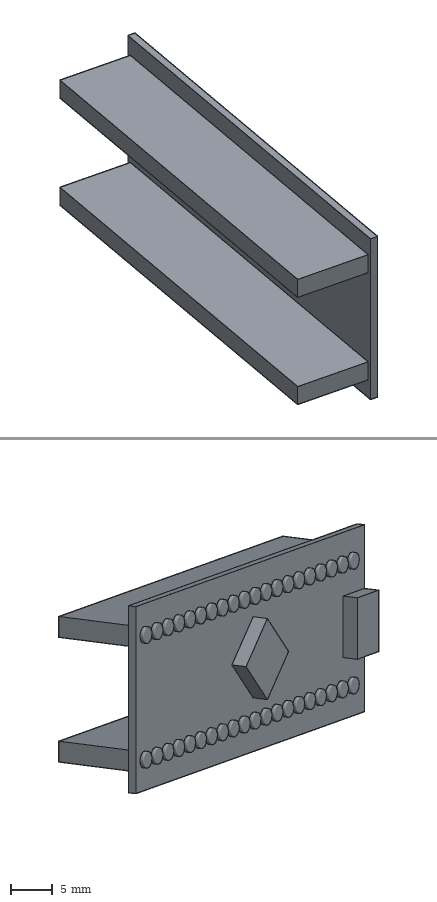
import cadquery as cq
import math

board_length = 53.25
board_height = 22.85
board_thickness = 1.0

header_length = 52.2
header_depth = 10.0
header_width = 2.55
row_spacing = 15.25
row_heights = [-row_spacing / 2, row_spacing / 2]

pad_count = 20
pitches_between_rows = 6
pad_pitch = row_spacing / pitches_between_rows
pad_diameter = 2.0
pad_height = 0.5
pad_row_center_x = 0.5
pad_fillet = 0.1

component_height = 1.95
chip_diagonal = 9.9
chip_center_x = -0.7
chip_center_z = 0.1
chip_angle = 45.0
connector_length = 5.0
connector_width = 7.5
connector_center_z = -0.1


def block_on_back(length, height, depth):
    """Block centred in X and Z that rises from the board's back face along +Y."""
    return cq.Workplane("XY").box(length, depth, height).translate((0, depth / 2, 0))


def make_plate():
    plate = cq.Workplane("XY").box(board_length, board_thickness, board_height)
    return plate.translate((0, -board_thickness / 2, 0))


def make_header(row_z):
    center_y = -board_thickness - header_depth / 2
    header = cq.Workplane("XY").box(header_length, header_depth, header_width)
    return header.translate((0, center_y, row_z))


def make_pad_row(row_z):
    return (
        cq.Workplane("XZ")
        .center(pad_row_center_x, row_z)
        .rarray(pad_pitch, 0.55, pad_count, 1)
        .circle(pad_diameter / 2)
        .extrude(-pad_height)
        .faces(">Y")
        .edges()
        .fillet(pad_fillet)
    )


def make_chip():
    side = chip_diagonal / math.sqrt(2)
    chip = block_on_back(side, side, component_height)
    return chip.rotate((0, 0, 0), (0, 1, 0), chip_angle).translate((chip_center_x, 0, chip_center_z))


def make_board():
    """Plate with its headers, solder pads and chip as one solid."""
    board = make_plate().union(make_chip())
    for row_z in row_heights:
        board = board.union(make_header(row_z)).union(make_pad_row(row_z))
    return board


def make_connector():
    """Connector shell on the back face, flush with the board's -X end."""
    center_x = (connector_length - board_length) / 2
    connector = block_on_back(connector_length, connector_width, component_height)
    return connector.translate((center_x, 0, connector_center_z))


board = make_board()
connector = make_connector()

result = cq.Compound.makeCompound([board.val(), connector.val()])